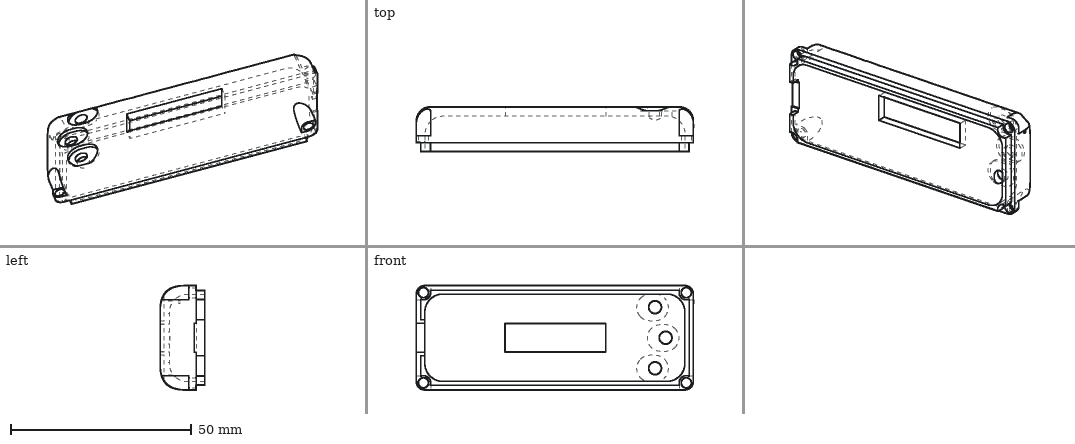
import cadquery as cq

overall_length = 77.0
nub_height = 0.1
body_length = overall_length - nub_height
depth = 12.5
height = 29.0

lip_depth = 2.5
flange_thickness = 2.0
flange_corner_radius = 2.5
lip_inset_end = 1.2
lip_inset_side = 1.4
lip_gap = 10.0

side_blend = 7.0
side_blend_fullness = 0.68
end_radius = 4.0
wall = 2.4
floor_thickness = 2.55
cavity_radius = 5.0

screw_inset = 2.0
screw_diameter = 2.8
pocket_radius = 2.0
pocket_size = screw_inset + pocket_radius

window_length = 27.9
window_height = 7.8
window_center_x = 0.15
button_diameter = 3.5
button_offset_z = 8.5
button_side_x = 27.8
button_middle_x = 30.7
recess_width = 7.4
recess_depth = 1.1
recess_length = 8.8
recess_shift = 0.8
notch_height = 8.1
notch_depth = 0.5

nub_diameter = 0.8
nub_y = 0.9
nub_z = 10.0

lip_front_y = -depth / 2
flange_front_y = lip_front_y + lip_depth
flange_back_y = flange_front_y + flange_thickness
back_y = depth / 2
floor_y = back_y - floor_thickness
cavity_blend_y = floor_y - cavity_radius


def block(size_x, size_z, y_start, y_end, center_x=0):
    """Box between two Y levels, centred on Z = 0."""
    size_y = y_end - y_start
    center_y = (y_start + y_end) / 2
    return cq.Workplane("XY").box(size_x, size_y, size_z).translate((center_x, center_y, 0))


def rod(diameter, y_start, y_end, x, z):
    """Cylinder along Y."""
    base = cq.Workplane("XZ", origin=(x, y_start, z))
    return base.circle(diameter / 2).extrude(y_start - y_end)


def corners(inset):
    """X and Z of the four points inset by the same amount from two neighbouring edges."""
    for sign_x in (-1, 1):
        for sign_z in (-1, 1):
            x = sign_x * (body_length / 2 - inset)
            z = sign_z * (height / 2 - inset)
            yield x, z


def rounded_shell_outside():
    """Body whose long back edges blend smoothly, fuller than a circular arc, with rounded ends."""
    top_z = height / 2
    blend_y = back_y - side_blend
    blend_z = top_z - side_blend
    handle = side_blend * side_blend_fullness
    upper_blend = [
        (blend_y, top_z),
        (blend_y + handle, top_z),
        (back_y, blend_z + handle),
        (back_y, blend_z),
    ]
    lower_blend = [(y, -z) for y, z in reversed(upper_blend)]
    profile = cq.Workplane("YZ", origin=(-body_length / 2, 0, 0)).moveTo(flange_front_y, top_z)
    profile = profile.lineTo(blend_y, top_z).bezier(upper_blend).lineTo(back_y, -blend_z)
    profile = profile.bezier(lower_blend).lineTo(flange_front_y, -top_z).close()
    shell = profile.extrude(body_length)
    end_edges = shell.faces("<X or >X").edges("not(<Y)")
    return end_edges.fillet(end_radius)


def head_pocket(x, z):
    """Square corner cut whose inner corner is rounded about the screw axis."""
    pocket = block(2 * pocket_size, 2 * pocket_size, flange_back_y, back_y)
    pocket = pocket.edges("|Y").fillet(pocket_radius)
    return pocket.translate((x, 0, z))


def flange():
    plate = block(body_length, height, flange_front_y, flange_back_y)
    return plate.edges("|Y").fillet(flange_corner_radius)


def lip():
    """Lip cleared around the screws and interrupted on the -X side."""
    lip_length = body_length - 2 * lip_inset_end
    lip_height = height - 2 * lip_inset_side
    ring = block(lip_length, lip_height, lip_front_y, flange_front_y)
    for x, z in corners(screw_inset):
        ring = ring.cut(rod(2 * pocket_radius, lip_front_y, flange_front_y, x, z))
    gap = block(2 * pocket_size, lip_gap, lip_front_y, flange_front_y, -body_length / 2)
    return ring.cut(gap)


def cavity():
    hollow = block(body_length - 2 * wall, height - 2 * wall, lip_front_y, floor_y)
    return hollow.edges("|Y or >Y").fillet(cavity_radius)


def finger_recess(x, z):
    """Shallow round-ended recess in the back face around one button."""
    base = cq.Workplane("XZ", origin=(x, back_y, z))
    return base.slot2D(recess_length, recess_width).extrude(recess_depth)


body = rounded_shell_outside()
for x, z in corners(0):
    body = body.cut(head_pocket(x, z))
body = body.union(flange()).union(lip()).cut(cavity())

for x, z in corners(screw_inset):
    body = body.cut(rod(screw_diameter, lip_front_y, back_y, x, z))

body = body.cut(block(window_length, window_height, cavity_blend_y, back_y, window_center_x))

buttons = [
    (button_side_x, button_offset_z),
    (button_middle_x, 0),
    (button_side_x, -button_offset_z),
]
for x, z in buttons:
    body = body.cut(rod(button_diameter, cavity_blend_y, back_y, x, z))
    body = body.cut(finger_recess(x - recess_shift, z))

notch_y = flange_front_y + notch_depth
body = body.cut(block(2 * wall, notch_height, flange_front_y, notch_y, -body_length / 2))

nub = cq.Workplane("YZ", origin=(body_length / 2 - wall / 2, nub_y, nub_z))
nub = nub.circle(nub_diameter / 2).extrude(wall / 2 + nub_height)
result = body.union(nub)